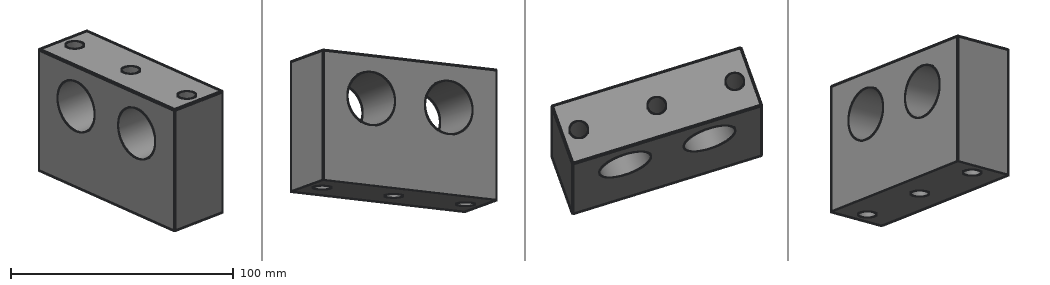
import cadquery as cq

length = 90.0
width = 30.0
height = 60.0
edge_chamfer = 0.5

bore_diameter = 24.5
bore_spacing = 40.0
bore_depth_below_top = 20.0

bolt_hole_diameter = 8.4
bolt_hole_pitch = 37.0


def make_block():
    """Block standing on Z = 0, chamfered on its upright and top edges."""
    block = cq.Workplane("XY").box(length, width, height, centered=(True, True, False))
    return block.edges("|Z or >Z").chamfer(edge_chamfer)


def make_bores():
    """Large cylinders along Y, placed symmetrically about X = 0."""
    bore_z = height - bore_depth_below_top
    centres = [(-bore_spacing / 2, bore_z), (bore_spacing / 2, bore_z)]
    return (
        cq.Workplane("XZ", origin=(0, width / 2, 0))
        .pushPoints(centres)
        .circle(bore_diameter / 2)
        .extrude(width)
    )


def make_bolt_holes():
    """Three small cylinders along Z on the centre line of the top face."""
    centres = [(step * bolt_hole_pitch, 0) for step in (-1, 0, 1)]
    return (
        cq.Workplane("XY")
        .pushPoints(centres)
        .circle(bolt_hole_diameter / 2)
        .extrude(height)
    )


result = make_block().cut(make_bores()).cut(make_bolt_holes())